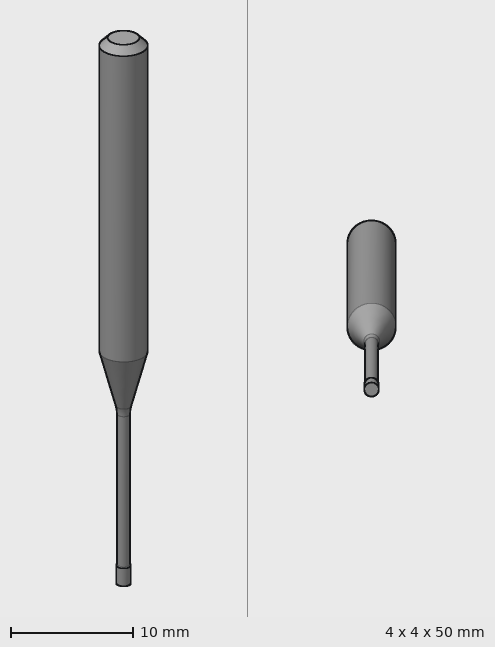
import cadquery as cq

total_length = 50.0
shank_diameter = 4.0

tip_diameter = 1.2
tip_length = 1.65

neck_diameter = 1.1
relief_length = 0.15
neck_end_z = 15.55

blend_end_diameter = 1.3
taper_start_z = 16.3

taper_end_z = 21.3

bevel_width = 0.7
bevel_height = 0.7


def make_cutting_tip():
    """Plain cylindrical envelope of the cutting end."""
    return cq.Workplane("XY").circle(tip_diameter / 2).extrude(tip_length)


def make_shank():
    """Neck, taper and bevelled shank turned as one body from half its profile."""
    shank_radius = shank_diameter / 2
    neck_radius = neck_diameter / 2
    return (
        cq.Workplane("XZ")
        .moveTo(0, tip_length)
        .lineTo(tip_diameter / 2, tip_length)
        .lineTo(neck_radius, tip_length + relief_length)
        .lineTo(neck_radius, neck_end_z)
        .tangentArcPoint((blend_end_diameter / 2, taper_start_z), relative=False)
        .lineTo(shank_radius, taper_end_z)
        .lineTo(shank_radius, total_length - bevel_height)
        .lineTo(shank_radius - bevel_width, total_length)
        .lineTo(0, total_length)
        .close()
        .revolve(360, (0, 0, 0), (0, 1, 0))
    )


cutting_tip = make_cutting_tip()
shank = make_shank()

result = cq.Compound.makeCompound([cutting_tip.val(), shank.val()])